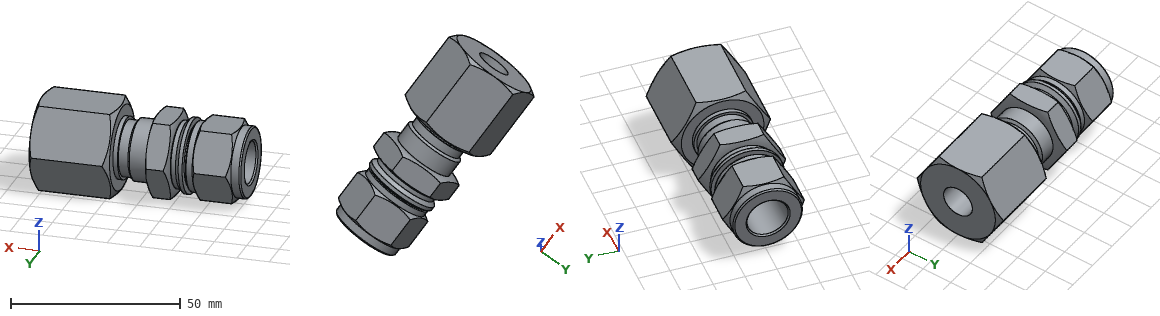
import math

import cadquery as cq


bore_diameter = 10.41
tube_diameter = 12.9
tube_depth = 22.9
tube_entry_diameter = 13.8
tube_entry_length = 0.5

nut_rim_diameter = 21.8
nut_rim_chamfer = 0.45
nut_hex_start = 2.95
nut_hex_end = 14.95
nut_hex_width = 22.225
nut_collar_diameter = 21.5
nut_collar_chamfer = 0.3
nut_end = 17.1

thread_diameter = 18.9
ring_start = 17.8
ring_end = 19.0
ring_diameter = 23.0
shoulder_start = 20.2
shoulder_diameter = 20.6
shoulder_chamfer = 0.25
body_hex_start = 21.85
body_hex_end = 29.3
body_hex_width = 23.8125
body_hex_crown_depth = 1.1
shank_diameter = 19.05
body_hex_face_diameter = shank_diameter
shank_end = 34.7
neck_start = 35.4
neck_diameter = 17.2
hub_start = 38.35
hub_diameter = 19.0

end_hex_start = 39.75
end_hex_end = 64.4
end_hex_width = 27.0
end_hex_front_diameter = 25.9
end_hex_back_diameter = end_hex_width

hex_chamfer_angle = math.radians(30)


def hex_corner_radius(width):
    """Radius over the corners of a hexagon given its width across flats."""
    return width / math.sqrt(3)


def hex_prism(start, end, width):
    """Hexagonal bar along X with two flats facing up and down."""
    corner_diameter = 2 * hex_corner_radius(width)
    return cq.Workplane("YZ", origin=(start, 0, 0)).polygon(6, corner_diameter).extrude(end - start)


def revolve_about_axis(outline):
    """Revolve a closed XY outline, drawn as (X, radius), about the X axis."""
    return outline.close().revolve(360, (0, 0, 0), (1, 0, 0))


def chamfered_hex(start, end, width, start_diameter, end_diameter):
    """Hexagon whose corners are turned off by a cone at both ends."""
    corner_radius = hex_corner_radius(width)
    start_depth = (corner_radius - start_diameter / 2) * math.tan(hex_chamfer_angle)
    end_depth = (corner_radius - end_diameter / 2) * math.tan(hex_chamfer_angle)
    envelope = cq.Workplane("XY").polyline(
        [
            (start, 0),
            (start, start_diameter / 2),
            (start + start_depth, corner_radius),
            (end - end_depth, corner_radius),
            (end, end_diameter / 2),
            (end, 0),
        ]
    )
    return hex_prism(start, end, width).intersect(revolve_about_axis(envelope))


def crowned_hex(start, end, width, face_diameter, crown_depth):
    """Hexagon whose corners are rounded off by an arc tangent to each end face."""
    corner_radius = hex_corner_radius(width)
    face_radius = face_diameter / 2
    rise = corner_radius - face_radius
    arc_radius = (rise**2 + crown_depth**2) / (2 * crown_depth)
    middle_rise = rise / 2
    middle_depth = arc_radius - math.sqrt(arc_radius**2 - middle_rise**2)
    middle_radius = face_radius + middle_rise
    envelope = (
        cq.Workplane("XY")
        .moveTo(start, 0)
        .lineTo(start, face_radius)
        .threePointArc((start + middle_depth, middle_radius), (start + crown_depth, corner_radius))
        .lineTo(end - crown_depth, corner_radius)
        .threePointArc((end - middle_depth, middle_radius), (end, face_radius))
        .lineTo(end, 0)
    )
    return hex_prism(start, end, width).intersect(revolve_about_axis(envelope))


def turned_core():
    """All round steps of the nut and the body, as one turned bar."""
    nut_rim = nut_rim_diameter / 2
    nut_collar = nut_collar_diameter / 2
    thread = thread_diameter / 2
    ring = ring_diameter / 2
    shoulder = shoulder_diameter / 2
    shank = shank_diameter / 2
    neck = neck_diameter / 2
    hub = hub_diameter / 2
    nut_middle = (nut_hex_start + nut_hex_end) / 2
    body_hex_middle = (body_hex_start + body_hex_end) / 2
    outline = cq.Workplane("XY").polyline(
        [
            (0, 0),
            (0, nut_rim - nut_rim_chamfer),
            (nut_rim_chamfer, nut_rim),
            (nut_middle, nut_rim),
            (nut_middle, nut_collar),
            (nut_end - nut_collar_chamfer, nut_collar),
            (nut_end, nut_collar - nut_collar_chamfer),
            (nut_end, thread),
            (ring_start, thread),
            (ring_start, ring),
            (ring_end, ring),
            (shoulder_start, shoulder),
            (body_hex_start - shoulder_chamfer, shoulder),
            (body_hex_start, shoulder - shoulder_chamfer),
            (body_hex_middle, shoulder - shoulder_chamfer),
            (body_hex_middle, shank),
            (shank_end, shank),
            (neck_start, neck),
            (hub_start, neck),
            (hub_start, hub),
            (end_hex_start, hub),
            (end_hex_end, hub),
            (end_hex_end, 0),
        ]
    )
    return revolve_about_axis(outline)


def tube_bore():
    """Stepped through bore with a conical entry for the tube."""
    outline = cq.Workplane("XY").polyline(
        [
            (0, 0),
            (0, tube_entry_diameter / 2),
            (tube_entry_length, tube_diameter / 2),
            (tube_depth, tube_diameter / 2),
            (tube_depth, bore_diameter / 2),
            (end_hex_end, bore_diameter / 2),
            (end_hex_end, 0),
        ]
    )
    return revolve_about_axis(outline)


nut_hex = chamfered_hex(
    nut_hex_start, nut_hex_end, nut_hex_width, nut_rim_diameter, nut_collar_diameter
)
body_hex = crowned_hex(
    body_hex_start, body_hex_end, body_hex_width, body_hex_face_diameter, body_hex_crown_depth
)
end_hex = chamfered_hex(
    end_hex_start, end_hex_end, end_hex_width, end_hex_front_diameter, end_hex_back_diameter
)

result = turned_core().union(nut_hex).union(body_hex).union(end_hex).cut(tube_bore())